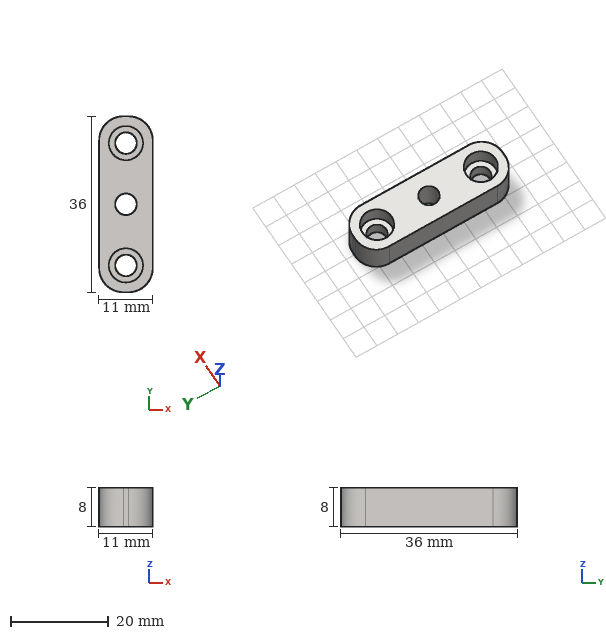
import cadquery as cq

width = 11.0
length = 36.0
height = 8.0
corner_radius = 5.0

hole_diameter = 4.35
end_hole_offset = 12.5
counterbore_diameter = 7.0
counterbore_depth = 4.4

end_hole_centres = [(0, -end_hole_offset), (0, end_hole_offset)]

bar = (
    cq.Workplane("XY")
    .box(width, length, height, centered=(True, True, False))
    .edges("|Z")
    .fillet(corner_radius)
)

bar = bar.faces(">Z").workplane(origin=(0, 0, height)).hole(hole_diameter)

result = (
    bar.faces(">Z")
    .workplane(origin=(0, 0, height))
    .pushPoints(end_hole_centres)
    .cboreHole(hole_diameter, counterbore_diameter, counterbore_depth)
)